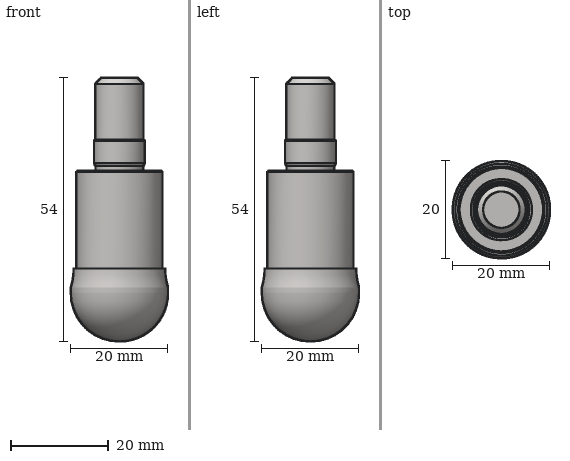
import cadquery as cq

total_height = 54.0
ball_radius = 10.0
belt_height = 1.0
seat_height = 15.0
seat_radius = 9.4

sleeve_radius = 8.85
sleeve_length = 20.0
sleeve_top = seat_height + sleeve_length
sleeve_chamfer = 0.3
bore_radius = 5.7
bore_chamfer = 0.55

shank_recess = 0.4
shank_top = sleeve_top - shank_recess
shank_chamfer = 0.1
neck_radius = 4.9
neck_fillet = 0.5
neck_top = 35.9
collar_radius = 5.25
collar_bottom = 36.5
collar_top = 41.35
stud_radius = 4.95
collar_chamfer = collar_radius - stud_radius
tip_chamfer = 1.25


def make_ball_stud():
    """Ball head, shank, undercut neck, collar and stud as one turned solid."""
    diagonal = ball_radius * 0.5 ** 0.5
    belt_top = ball_radius + belt_height

    flank_width = ball_radius - seat_radius
    flank_height = seat_height - belt_top
    flank_radius = (flank_width**2 + flank_height**2) / (2 * flank_width)
    flank_mid_z = seat_height - flank_height / 2
    flank_mid_radius = seat_radius + flank_radius - (flank_radius**2 - (flank_height / 2) ** 2) ** 0.5

    fillet_offset = neck_fillet * (1 - 0.5 ** 0.5)
    profile = (
        cq.Workplane("XZ")
        .moveTo(0, 0)
        .threePointArc((diagonal, ball_radius - diagonal), (ball_radius, ball_radius))
        .lineTo(ball_radius, belt_top)
        .threePointArc((flank_mid_radius, flank_mid_z), (seat_radius, seat_height))
        .lineTo(bore_radius, seat_height)
        .lineTo(bore_radius, shank_top - shank_chamfer)
        .lineTo(bore_radius - shank_chamfer, shank_top)
        .lineTo(neck_radius + neck_fillet, shank_top)
        .threePointArc(
            (neck_radius + fillet_offset, shank_top + fillet_offset),
            (neck_radius, shank_top + neck_fillet),
        )
        .lineTo(neck_radius, neck_top)
        .lineTo(collar_radius, collar_bottom)
        .lineTo(collar_radius, collar_top - collar_chamfer)
        .lineTo(stud_radius, collar_top)
        .lineTo(stud_radius, total_height - tip_chamfer)
        .lineTo(stud_radius - tip_chamfer, total_height)
        .lineTo(0, total_height)
        .close()
    )
    return profile.revolve(360, (0, 0, 0), (0, 1, 0))


def make_sleeve():
    """Plain sleeve around the shank, chamfered inside and outside at the top."""
    profile = (
        cq.Workplane("XZ")
        .moveTo(bore_radius, seat_height)
        .lineTo(sleeve_radius, seat_height)
        .lineTo(sleeve_radius, sleeve_top - sleeve_chamfer)
        .lineTo(sleeve_radius - sleeve_chamfer, sleeve_top)
        .lineTo(bore_radius + bore_chamfer, sleeve_top)
        .lineTo(bore_radius, sleeve_top - bore_chamfer)
        .close()
    )
    return profile.revolve(360, (0, 0, 0), (0, 1, 0))


ball_stud = make_ball_stud()
sleeve = make_sleeve()

result = cq.Compound.makeCompound([ball_stud.val(), sleeve.val()])